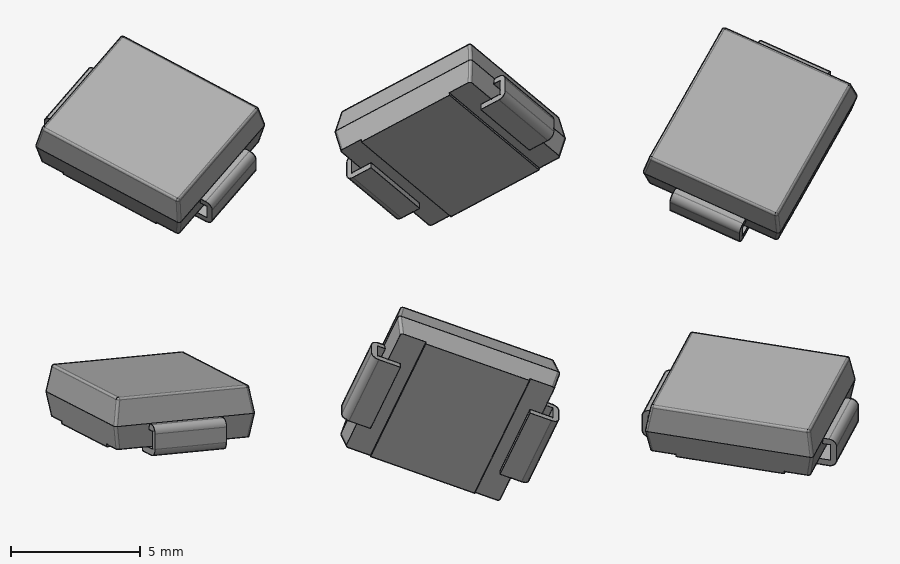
import cadquery as cq
import math

overall_length = 7.8
body_width = 5.9
overall_height = 2.3

body_length = 6.74
seam_height = 1.22
body_underside = 0.265
pad_underside = 0.155
pad_length = 4.34
draft_angle = 9.8
side_edge_radius = 0.11
top_edge_radius = 0.1

lead_width = 3.0
lead_thickness = 0.25
lead_bend_radius = 0.305
foot_length = 1.2
lead_embed = 0.31


def drafted_half(end_height):
    """Half of the body, narrowing from the seam plane to end_height."""
    rise = end_height - seam_height
    inset = abs(rise) * math.tan(math.radians(draft_angle))
    return (
        cq.Workplane("XY", origin=(0, 0, seam_height))
        .rect(body_length, body_width)
        .workplane(offset=rise)
        .rect(body_length - 2 * inset, body_width - 2 * inset)
        .loft(ruled=True)
    )


def make_body():
    """Upper and lower drafted halves, with a standing pad under the middle."""
    corner_edges = "not #Z"
    upper = drafted_half(overall_height).edges(corner_edges).fillet(side_edge_radius)
    upper = upper.faces(">Z").edges().fillet(top_edge_radius)
    lower = drafted_half(pad_underside).edges(corner_edges).fillet(side_edge_radius)

    end_length = (body_length - pad_length) / 2
    for side in (-1, 1):
        end_relief = (
            cq.Workplane("XY", origin=(0, 0, body_underside))
            .center(side * (pad_length + end_length) / 2, 0)
            .rect(end_length, body_width)
            .extrude(pad_underside - body_underside)
        )
        lower = lower.cut(end_relief)
    return upper.union(lower)


def make_left_lead():
    """C-shaped strip that leaves the body at the seam and folds beneath it."""
    outer_x = -overall_length / 2
    inner_x = outer_x + lead_thickness
    embedded_x = -body_length / 2 + lead_embed
    foot_x = outer_x + foot_length
    lead = (
        cq.Workplane("XZ")
        .moveTo(embedded_x, seam_height)
        .lineTo(outer_x, seam_height)
        .lineTo(outer_x, 0)
        .lineTo(foot_x, 0)
        .lineTo(foot_x, body_underside)
        .lineTo(inner_x, body_underside)
        .lineTo(inner_x, seam_height - lead_thickness)
        .lineTo(embedded_x, seam_height - lead_thickness)
        .close()
        .extrude(lead_width / 2, both=True)
    )
    return lead.edges("|Y and <X").fillet(lead_bend_radius)


left_lead = make_left_lead()
right_lead = left_lead.mirror("YZ")
result = make_body().union(left_lead).union(right_lead)